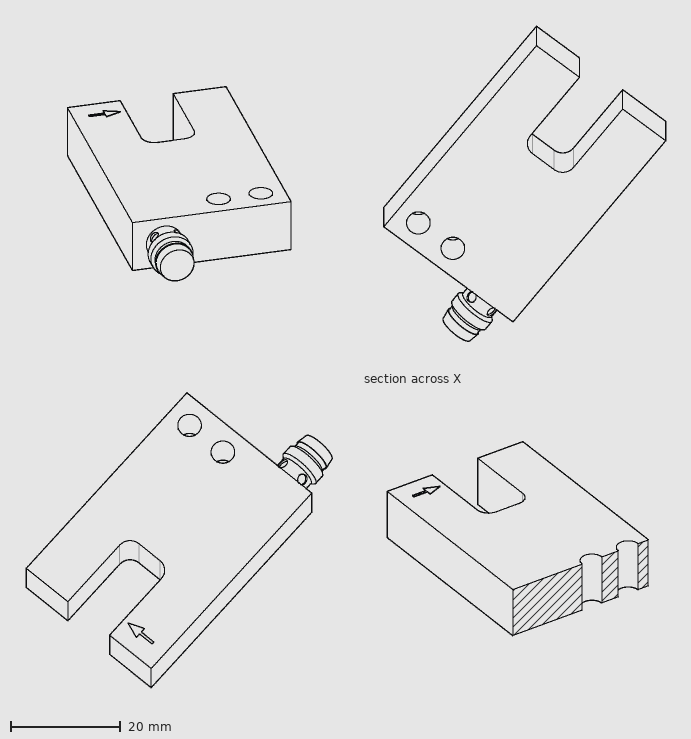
import cadquery as cq
import math

BODY_LENGTH = 45.0
BODY_WIDTH = 30.0
BODY_HEIGHT = 10.0

SLOT_DEPTH = 17.0
SLOT_WIDTH = 10.0
SLOT_CORNER_RADIUS = 2.5

MOUNT_HOLE_DIAMETER = 4.3
MOUNT_HOLE_EDGE_DISTANCE = 4.5
MOUNT_HOLE_SPACING = 8.0

CONNECTOR_Y = -9.0
CONNECTOR_Z = BODY_HEIGHT / 2
CONNECTOR_LENGTH = 9.0
NECK_DIAMETER = 6.77
COLLAR_DIAMETER = 8.0
COLLAR_START = 3.55
COLLAR_END = 5.4
COLLAR_CHAMFER_LENGTH = 0.6
TIP_START = 7.0
TIP_LARGE_DIAMETER = 7.1
TIP_SMALL_DIAMETER = 6.4

NECK_HOLE_COUNT = 4
NECK_HOLE_DIAMETER = 2.0
NECK_HOLE_POSITION = 1.6
NECK_HOLE_FIRST_ANGLE = 45.0
NECK_CORE_DIAMETER = 5.8

ARROW_X = 4.0
ARROW_TIP_Y = -6.0
ARROW_HEAD_LENGTH = 3.0
ARROW_HEAD_WIDTH = 2.3
ARROW_SHAFT_LENGTH = 3.0
ARROW_SHAFT_WIDTH = 0.5
ARROW_DEPTH = 0.1


def make_body():
    """Rectangular block with the fork slot and the two mounting holes."""
    body = cq.Workplane("XY").box(BODY_LENGTH, BODY_WIDTH, BODY_HEIGHT, centered=(False, True, False))
    slot = (
        cq.Workplane("XY")
        .box(SLOT_DEPTH, SLOT_WIDTH, BODY_HEIGHT, centered=(False, True, False))
        .edges("|Z and >X")
        .fillet(SLOT_CORNER_RADIUS)
    )
    hole_x = BODY_LENGTH - MOUNT_HOLE_EDGE_DISTANCE
    outer_hole_y = BODY_WIDTH / 2 - MOUNT_HOLE_EDGE_DISTANCE
    holes = (
        cq.Workplane("XY")
        .pushPoints([(hole_x, outer_hole_y), (hole_x, outer_hole_y - MOUNT_HOLE_SPACING)])
        .circle(MOUNT_HOLE_DIAMETER / 2)
        .extrude(BODY_HEIGHT)
    )
    return body.cut(slot).cut(holes)


def make_arrow():
    """Arrow-shaped cutter reaching down from the top face."""
    head_base_y = ARROW_TIP_Y - ARROW_HEAD_LENGTH
    shaft_end_y = head_base_y - ARROW_SHAFT_LENGTH
    half_head = ARROW_HEAD_WIDTH / 2
    half_shaft = ARROW_SHAFT_WIDTH / 2
    outline = [
        (ARROW_X, ARROW_TIP_Y),
        (ARROW_X + half_head, head_base_y),
        (ARROW_X + half_shaft, head_base_y),
        (ARROW_X + half_shaft, shaft_end_y),
        (ARROW_X - half_shaft, shaft_end_y),
        (ARROW_X - half_shaft, head_base_y),
        (ARROW_X - half_head, head_base_y),
    ]
    return cq.Workplane("XY", origin=(0, 0, BODY_HEIGHT)).polyline(outline).close().extrude(-ARROW_DEPTH)


def make_neck_hole(angle):
    """Radial cutter from the neck core outward, at an angle in degrees from +Y."""
    core_radius = NECK_CORE_DIAMETER / 2
    outward_y = math.cos(math.radians(angle))
    outward_z = math.sin(math.radians(angle))
    floor_plane = cq.Plane(
        origin=(
            BODY_LENGTH + NECK_HOLE_POSITION,
            CONNECTOR_Y + core_radius * outward_y,
            CONNECTOR_Z + core_radius * outward_z,
        ),
        xDir=(1, 0, 0),
        normal=(0, outward_y, outward_z),
    )
    reach = (COLLAR_DIAMETER - NECK_CORE_DIAMETER) / 2
    return cq.Workplane(floor_plane).circle(NECK_HOLE_DIAMETER / 2).extrude(reach)


def make_connector():
    """Turned connector: neck, chamfered collar and tapered tip, with the neck holes."""
    neck_radius = NECK_DIAMETER / 2
    collar_radius = COLLAR_DIAMETER / 2
    profile = [
        (0, 0),
        (0, neck_radius),
        (COLLAR_START - COLLAR_CHAMFER_LENGTH, neck_radius),
        (COLLAR_START, collar_radius),
        (COLLAR_END, collar_radius),
        (COLLAR_END + COLLAR_CHAMFER_LENGTH, neck_radius),
        (TIP_START, neck_radius),
        (TIP_START, TIP_LARGE_DIAMETER / 2),
        (CONNECTOR_LENGTH, TIP_SMALL_DIAMETER / 2),
        (CONNECTOR_LENGTH, 0),
    ]
    connector = (
        cq.Workplane("XY", origin=(BODY_LENGTH, CONNECTOR_Y, CONNECTOR_Z))
        .polyline(profile)
        .close()
        .revolve(360, (0, 0, 0), (1, 0, 0))
    )
    for index in range(NECK_HOLE_COUNT):
        angle = NECK_HOLE_FIRST_ANGLE + index * 360 / NECK_HOLE_COUNT
        connector = connector.cut(make_neck_hole(angle))
    return connector


result = make_body().cut(make_arrow()).union(make_connector())